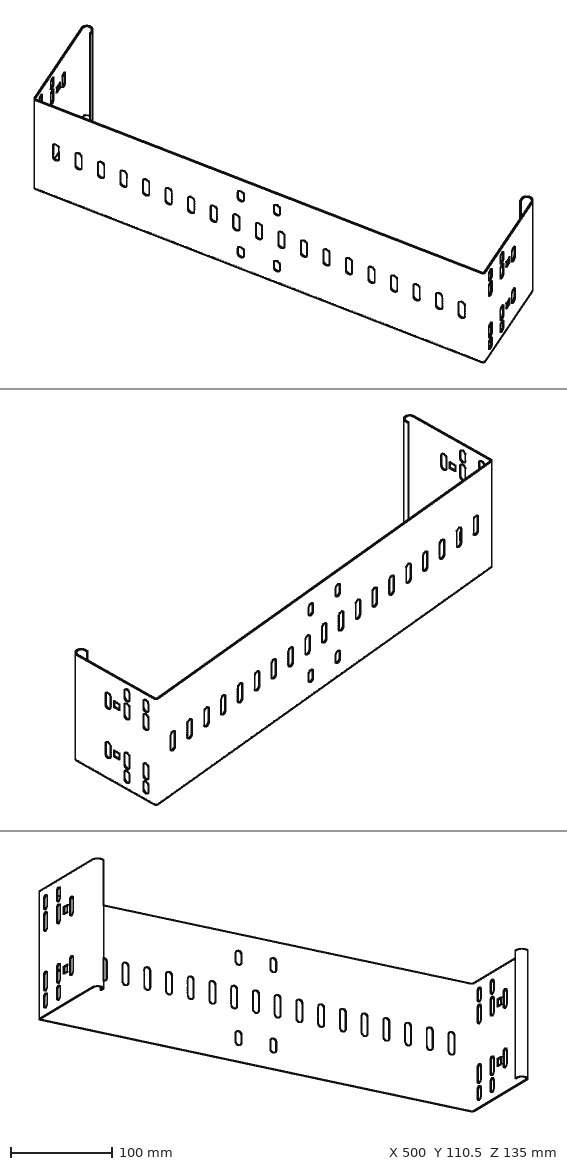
import cadquery as cq

length = 500.0
depth = 110.5
height = 135.0

thickness = 1.25
corner_radius = 2.5
hook_radius = 6.0
hook_leg = 3.0

slot_width = 7.0
upright = 90.0

row_count = 19
row_pitch = 25.0
row_slot_length = 24.0

fixing_spacing_x = 40.0
fixing_spacing_z = 85.0
fixing_slot_length = 15.0

column_pitch = 25.0
first_column = 14.0
column_count = 3
short_column_count = 2
column_positions = [first_column + i * column_pitch for i in range(column_count)]
long_slot_length = 20.0
long_slot_offset = 31.5
short_slot_length = 15.0
short_slot_offset = 52.0
square_side = 7.5
square_position = 52.5


def make_half_shell():
    """Bent sheet from mid-length to the left wall and its inward hook."""
    left = -length / 2
    inner_left = left + thickness
    hook_y = depth - hook_radius
    hook_x = left + hook_radius
    lip_outer = left + 2 * hook_radius
    lip_inner = lip_outer - thickness
    lip_y = hook_y - hook_leg
    profile = (
        cq.Workplane("XY")
        .moveTo(0, 0)
        .lineTo(left + corner_radius, 0)
        .radiusArc((left, corner_radius), corner_radius)
        .lineTo(left, hook_y)
        .threePointArc((hook_x, depth), (lip_outer, hook_y))
        .lineTo(lip_outer, lip_y)
        .lineTo(lip_inner, lip_y)
        .lineTo(lip_inner, hook_y)
        .threePointArc((hook_x, depth - thickness), (inner_left, hook_y))
        .lineTo(inner_left, corner_radius)
        .radiusArc((left + corner_radius, thickness), -(corner_radius - thickness))
        .lineTo(0, thickness)
        .close()
    )
    return profile.extrude(height / 2, both=True)


def make_shell():
    """Both halves of the bent sheet, mirrored about mid-length."""
    half = make_half_shell()
    return half.union(half.mirror("YZ"))


def upright_slots(plane, points, slot_length):
    """Cutters for round-ended slots standing along Z on a plane through the origin."""
    return (
        cq.Workplane(plane)
        .pushPoints(points)
        .slot2D(slot_length, slot_width, upright)
        .extrude(length, both=True)
    )


def cut_web_slots(body):
    """Slot row and fixing slots through the web."""
    row_start = -(row_count - 1) / 2 * row_pitch
    row_points = [(row_start + i * row_pitch, 0) for i in range(row_count)]
    fixing_points = [
        (side * fixing_spacing_x / 2, level * fixing_spacing_z / 2)
        for side in (-1, 1)
        for level in (-1, 1)
    ]
    body = body.cut(upright_slots("XZ", row_points, row_slot_length))
    return body.cut(upright_slots("XZ", fixing_points, fixing_slot_length))


def cut_wall_holes(body):
    """Slots and square holes through both side walls."""
    long_points = [(y, level * long_slot_offset) for y in column_positions for level in (-1, 1)]
    short_columns = column_positions[:short_column_count]
    short_points = [(y, level * short_slot_offset) for y in short_columns for level in (-1, 1)]
    square_points = [(square_position, level * long_slot_offset) for level in (-1, 1)]
    squares = (
        cq.Workplane("YZ")
        .pushPoints(square_points)
        .rect(square_side, square_side)
        .extrude(length, both=True)
    )
    body = body.cut(upright_slots("YZ", long_points, long_slot_length))
    body = body.cut(upright_slots("YZ", short_points, short_slot_length))
    return body.cut(squares)


result = cut_wall_holes(cut_web_slots(make_shell()))